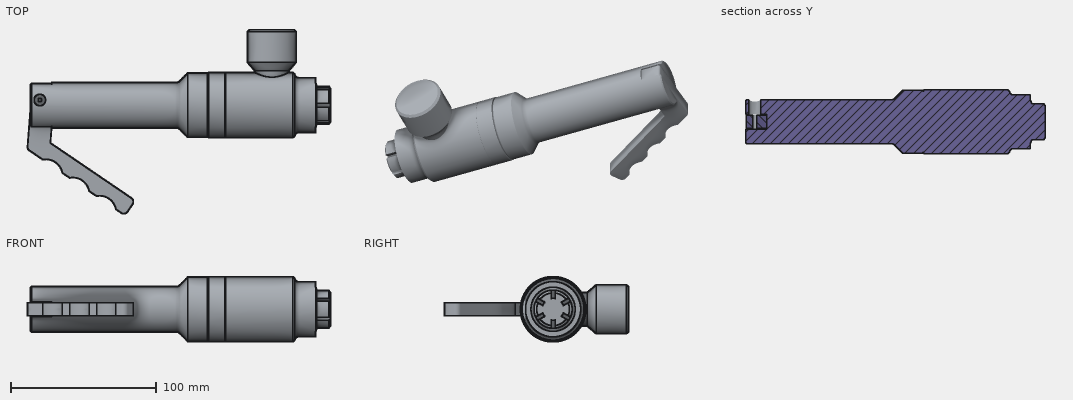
import cadquery as cq
import math


total_reach = 206.9
shaft_dia = 31.5
shaft_end_chamfer = 0.8
shoulder_fillet = 2.5
shoulder_x = 108.5
shoulder_angle = 45
cap_dia = 44.5
cap_rim_chamfer = 1.0
cap_end_x = 122.9
barrel_dia = 45.1
barrel_end_x = 182.2
barrel_end_chamfer = 1.3
seam_x = 134.0
seam_width = 0.6
seam_depth = 0.2
collar_dia = 38.0
collar_fillet = 2.5
collar_end_x = 196.6
ring_dia = 30.5
ring_length = 0.8

nose_dia = 26.3
nose_tip_dia = 22.5
nose_tip_length = 1.3
nose_core_dia = 15.0
nose_slot_width = 2.7
nose_slot_count = 6

inlet_x = 166.3
inlet_dia = 33.9
inlet_neck_dia = 23.5
inlet_end_y = 52.0
inlet_end_chamfer = 1.5
inlet_cone_start_y = 23.6
inlet_cone_end_y = 29.7

slot_depth = 14.6
slot_width = 9.8
pivot_x = 6.5
pivot_y = 3.5
pivot_access_dia = 8.0
pivot_hole_dia = 2.5

lever_thickness = 9.0
lever_lean = 4.4
lever_top_y = 14.2
lever_top_fillet = 1.7
lever_overhang = 2.0
heel_y = -30.3
arm_slope = 34.2
arm_length = 81.5
arm_width = 12.5
arm_fillet = 3.1
neck_seat_y = -shaft_dia / 2
scallop_dia = 22.5
scallop_chord = 16.0
scallop_count = 3
scallop_pitch = 22.4
first_scallop = 21.1

heel_half_angle = math.radians((90 - lever_lean + arm_slope) / 2)
heel_tangent = arm_fillet / math.tan(heel_half_angle)
heel_x = (
    arm_fillet * (1 - math.cos(math.radians(lever_lean)))
    - heel_tangent * math.sin(math.radians(lever_lean))
    - lever_overhang
)


def make_turned_body():
    """Shaft, shoulder cone, cap, barrel, collar and tapered ring turned about X."""
    shaft_r = shaft_dia / 2
    cap_r = cap_dia / 2
    barrel_r = barrel_dia / 2
    collar_r = collar_dia / 2
    fillet_mid = math.radians(shoulder_angle / 2)
    fillet_end = math.radians(shoulder_angle)
    cone_foot_r = shaft_r + shoulder_fillet * (1 - math.cos(fillet_end))
    cone_foot_x = shoulder_x - (cap_r - cone_foot_r) / math.tan(fillet_end)
    fillet_x = cone_foot_x - shoulder_fillet * math.sin(fillet_end)
    fillet_mid_point = (
        fillet_x + shoulder_fillet * math.sin(fillet_mid),
        shaft_r + shoulder_fillet * (1 - math.cos(fillet_mid)),
    )
    collar_fillet_mid = collar_fillet * (1 - math.sqrt(0.5))
    ring_end_x = collar_end_x + ring_length
    profile = (
        cq.Workplane("XY")
        .moveTo(0, 0)
        .lineTo(0, shaft_r - shaft_end_chamfer)
        .lineTo(shaft_end_chamfer, shaft_r)
        .lineTo(fillet_x, shaft_r)
        .threePointArc(fillet_mid_point, (cone_foot_x, cone_foot_r))
        .lineTo(shoulder_x, cap_r)
        .lineTo(cap_end_x - cap_rim_chamfer, cap_r)
        .lineTo(cap_end_x, cap_r - cap_rim_chamfer)
        .lineTo(cap_end_x, barrel_r)
        .lineTo(seam_x, barrel_r)
        .lineTo(seam_x, barrel_r - seam_depth)
        .lineTo(seam_x + seam_width, barrel_r - seam_depth)
        .lineTo(seam_x + seam_width, barrel_r)
        .lineTo(barrel_end_x - barrel_end_chamfer, barrel_r)
        .lineTo(barrel_end_x, barrel_r - barrel_end_chamfer)
        .lineTo(barrel_end_x, collar_r + collar_fillet)
        .threePointArc(
            (barrel_end_x + collar_fillet_mid, collar_r + collar_fillet_mid),
            (barrel_end_x + collar_fillet, collar_r),
        )
        .lineTo(collar_end_x, collar_r)
        .lineTo(collar_end_x, ring_dia / 2)
        .lineTo(ring_end_x, nose_dia / 2)
        .lineTo(ring_end_x, 0)
        .close()
    )
    return profile.revolve(360, (0, 0, 0), (1, 0, 0))


def make_nose():
    """Fingers separated by radial slots around a solid core."""
    start_x = collar_end_x + ring_length
    length = total_reach - start_x
    nose = (
        cq.Workplane("XY")
        .moveTo(start_x, 0)
        .lineTo(start_x, nose_dia / 2)
        .lineTo(total_reach - nose_tip_length, nose_dia / 2)
        .lineTo(total_reach, nose_tip_dia / 2)
        .lineTo(total_reach, 0)
        .close()
        .revolve(360, (0, 0, 0), (1, 0, 0))
    )
    slot = cq.Workplane("XY").box(
        length, nose_slot_width, nose_dia, centered=(False, True, False)
    ).translate((start_x, 0, 0))
    for i in range(nose_slot_count):
        nose = nose.cut(slot.rotate((0, 0, 0), (1, 0, 0), i * 360 / nose_slot_count))
    core = cq.Workplane("YZ", origin=(start_x, 0, 0)).circle(nose_core_dia / 2).extrude(length)
    return nose.union(core)


def make_inlet():
    """Side inlet turned about its own axis, starting on the housing axis."""
    neck_r = inlet_neck_dia / 2
    inlet_r = inlet_dia / 2
    return (
        cq.Workplane("XY", origin=(inlet_x, 0, 0))
        .moveTo(0, 0)
        .lineTo(neck_r, 0)
        .lineTo(neck_r, inlet_cone_start_y)
        .lineTo(inlet_r, inlet_cone_end_y)
        .lineTo(inlet_r, inlet_end_y - inlet_end_chamfer)
        .lineTo(inlet_r - inlet_end_chamfer, inlet_end_y)
        .lineTo(0, inlet_end_y)
        .close()
        .revolve(360, (0, 0, 0), (0, 1, 0))
    )


def make_housing():
    """Complete housing with the lever slot and the pivot access hole."""
    lever_slot = cq.Workplane("XY").box(
        slot_depth, shaft_dia, slot_width, centered=(False, True, True)
    )
    access_hole = (
        cq.Workplane("XY")
        .center(pivot_x, pivot_y)
        .circle(pivot_access_dia / 2)
        .extrude(shaft_dia / 2)
    )
    housing = make_turned_body().union(make_nose()).union(make_inlet())
    return housing.cut(lever_slot).cut(access_hole)


def arm_point(along, across):
    """Point at a distance along the arm from the heel and across towards the shaft."""
    slope = math.radians(arm_slope)
    return (
        heel_x + along * math.cos(slope) + across * math.sin(slope),
        heel_y - along * math.sin(slope) + across * math.cos(slope),
    )


def fillet_corner(body, corner, radius):
    """Round the upright edge that stands on the given corner of the outline."""
    edge = cq.selectors.NearestToPointSelector((corner[0], corner[1], 0))
    return body.edges("|Z").edges(edge).fillet(radius)


def make_lever():
    """Finger lever: neck seated on the slot floor and a sloping scalloped arm."""
    lean = math.tan(math.radians(lever_lean))
    heel = arm_point(0, 0)
    tip_outer = arm_point(arm_length, 0)
    tip_inner = arm_point(arm_length, arm_width)
    top_outer = (heel_x + (lever_top_y - heel_y) * lean, lever_top_y)
    slope = math.radians(arm_slope)
    edge_x, edge_y = arm_point(0, arm_width)
    inner_x = (
        slot_depth + lean * (edge_y + edge_x * math.tan(slope) - neck_seat_y)
    ) / (1 + lean * math.tan(slope))
    inner_y = edge_y - (inner_x - edge_x) * math.tan(slope)
    outline = [
        heel,
        tip_outer,
        tip_inner,
        (inner_x, inner_y),
        (slot_depth, neck_seat_y),
        (slot_depth, lever_top_y),
        top_outer,
    ]
    lever = cq.Workplane("XY").polyline(outline).close().extrude(lever_thickness / 2, both=True)
    for corner in (heel, tip_outer, tip_inner):
        lever = fillet_corner(lever, corner, arm_fillet)
    lever = fillet_corner(lever, top_outer, lever_top_fillet)

    centre_drop = math.sqrt((scallop_dia / 2) ** 2 - (scallop_chord / 2) ** 2)
    scallop_centres = [
        arm_point(first_scallop + i * scallop_pitch, -centre_drop) for i in range(scallop_count)
    ]
    scallops = (
        cq.Workplane("XY")
        .pushPoints(scallop_centres)
        .circle(scallop_dia / 2)
        .extrude(lever_thickness, both=True)
    )
    pivot_hole = (
        cq.Workplane("XY")
        .center(pivot_x, pivot_y)
        .circle(pivot_hole_dia / 2)
        .extrude(lever_thickness, both=True)
    )
    return lever.cut(scallops).cut(pivot_hole)


housing = make_housing()
lever = make_lever()
result = cq.Compound.makeCompound([housing.val(), lever.val()])